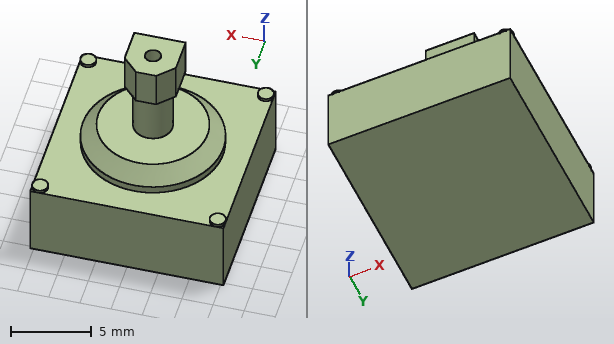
import cadquery as cq

base_side = 12.4
base_height = 5.0

pin_diameter = 1.0
pin_height = 0.2
pin_offset = (base_side - pin_diameter) / 2

collar_diameter = 9.0
collar_height = 1.5
collar_bevel = 1.0

total_height = 12.5
stem_diameter = 2.5
head_side = 3.3
head_height = 2.5
head_corner_cut = 1.0
hole_diameter = 1.0
hole_depth = head_height

collar_top = base_height + collar_height
head_bottom = total_height - head_height


def cylinder(diameter, bottom, top):
    """Upright cylinder on the Z axis."""
    return cq.Workplane("XY").workplane(offset=bottom).circle(diameter / 2).extrude(top - bottom)


def make_base():
    return cq.Workplane("XY").box(base_side, base_side, base_height, centered=(True, True, False))


def make_pins():
    pin = cylinder(pin_diameter, base_height, base_height + pin_height)
    pins = cq.Workplane("XY")
    for x in (-pin_offset, pin_offset):
        for y in (-pin_offset, pin_offset):
            pins = pins.add(pin.translate((x, y, 0)))
    return pins.combine()


def make_collar():
    return cylinder(collar_diameter, base_height, collar_top).faces(">Z").chamfer(collar_bevel)


def make_head():
    """Square head with both +Y vertical corners cut off."""
    return (
        cq.Workplane("XY")
        .workplane(offset=head_bottom)
        .rect(head_side, head_side)
        .extrude(head_height)
        .edges("|Z and >Y")
        .chamfer(head_corner_cut)
    )


stem = cylinder(stem_diameter, collar_top, head_bottom)
hole = cylinder(hole_diameter, total_height - hole_depth, total_height)

result = make_base().union(make_collar()).union(stem).union(make_head()).cut(hole)
result = result.union(make_pins())